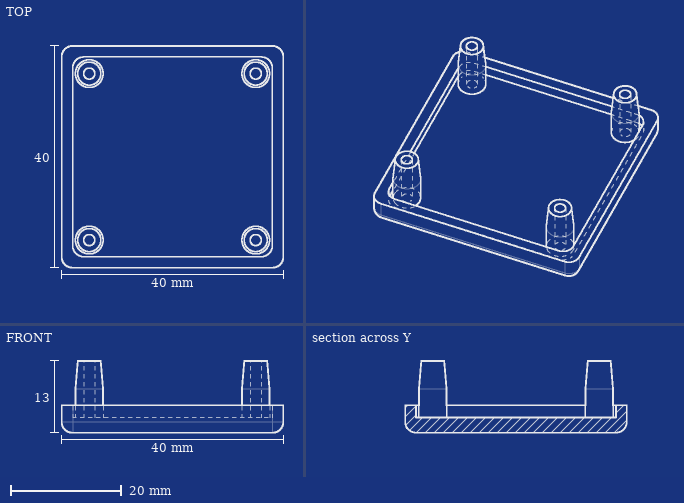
import cadquery as cq

side = 40.0
tray_height = 5.0
edge_radius = 2.0
wall = 2.0
floor_thickness = 2.8
cavity_corner_radius = 2.0

total_height = 13.0
post_diameter = 5.0
post_tip_diameter = 4.15
taper_height = 5.0
post_inset = 5.0
hole_diameter = 2.0

post_spacing = side - 2 * post_inset
post_height = total_height - floor_thickness


def make_tray():
    """Square tray with rounded corners and a rounded bottom rim."""
    body = (
        cq.Workplane("XY")
        .box(side, side, tray_height, centered=(True, True, False))
        .edges("|Z or <Z")
        .fillet(edge_radius)
    )
    cavity_side = side - 2 * wall
    cavity = (
        cq.Workplane("XY", origin=(0, 0, floor_thickness))
        .rect(cavity_side, cavity_side)
        .extrude(tray_height - floor_thickness)
        .edges("|Z")
        .fillet(cavity_corner_radius)
    )
    return body.cut(cavity)


def make_post():
    """Hollow post on the Z axis: straight shank, then a taper to the tip.

    The shank starts at the underside of the tray so that it merges with the floor,
    while the bore stops at the floor's upper face.
    """
    shank_radius = post_diameter / 2
    profile = [
        (0, 0),
        (shank_radius, 0),
        (shank_radius, total_height - taper_height),
        (post_tip_diameter / 2, total_height),
        (0, total_height),
    ]
    post = cq.Workplane("XZ").polyline(profile).close().revolve(360, (0, 0, 0), (0, 1, 0))
    bore = (
        cq.Workplane("XY", origin=(0, 0, floor_thickness))
        .circle(hole_diameter / 2)
        .extrude(post_height)
    )
    return post.cut(bore)


result = make_tray()
post_centres = cq.Workplane("XY").rect(post_spacing, post_spacing, forConstruction=True).vertices()
for centre in post_centres.vals():
    result = result.union(make_post().translate(centre.toTuple()))